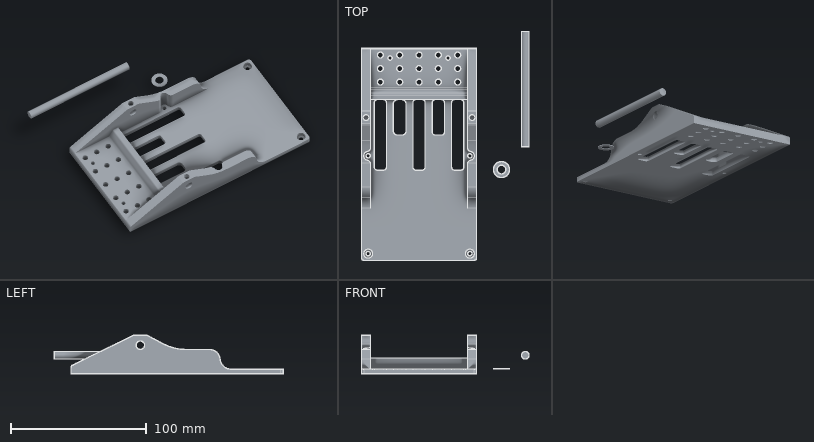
import cadquery as cq
import math


base_width = 85.0
base_length = 156.5
plate_thickness = 3.5
small_radius = 2.0

rail_width = 7.0
rail_back_height = 5.9
rail_peak_height = 28.5
peak_land_length = 9.8
front_slope_angle = 28.0
front_slope_radius = 35.0
shoulder_height = 18.0
shoulder_front_y = 54.3
s_curve_radius = 8.0

pin_hole_diameter = 6.0
pin_hole_y = 105.3
pin_hole_z = 21.1
set_screw_diameter = 4.2

shelf_height = 6.0
wall_height = 11.8
wall_front_y = 118.5
wall_top_thickness = 4.2
wall_base_thickness = 8.1

column_count = 5

grid_hole_diameter = 4.2
grid_row_count = 3
grid_row_pitch = 10.0
grid_middle_y = 141.5

slot_width = 8.8
slot_corner_radius = 2.0
long_slot_front_y = 66.7
short_slot_front_y = 92.5
wide_slot_column = 1
wide_slot_width = 9.3
wide_slot_corner_radius = 3.0

screw_hole_diameter = 3.0
screw_head_diameter = 6.5
screw_head_depth = 3.2
screw_edge_distance = 5.0
screw_row_pitch = 72.0
pocket_mouth_radius = 3.0

rod_diameter = 5.7
rod_length = 85.0
rod_x = 78.3
rod_back_y = 168.8
rod_z = 13.7

washer_outer_diameter = 12.0
washer_inner_diameter = 6.2
washer_thickness = 0.5
washer_x = 60.8
washer_y = 67.0
washer_z = 3.5

half_width = base_width / 2
inner_width = base_width - 2 * rail_width
column_pitch = inner_width / column_count
screw_x = half_width - screw_edge_distance
middle_screw_y = screw_edge_distance + screw_row_pitch
back_screw_y = middle_screw_y + screw_row_pitch
column_xs = [(i - (column_count - 1) / 2) * column_pitch for i in range(column_count)]
pick_size = 0.02


def round_x_edge(body, y, z, radius):
    """Fillet the edges along X that run through (y, z)."""
    picker = cq.selectors.BoxSelector(
        (-base_width, y - pick_size, z - pick_size),
        (base_width, y + pick_size, z + pick_size),
    )
    return body.edges("|X").edges(picker).fillet(radius)


def vertical_cylinder(diameter, x, y, bottom, top):
    return cq.Workplane("XY", origin=(x, y, bottom)).circle(diameter / 2).extrude(top - bottom)


def make_rail(left_x):
    """Side rail: ramp, peak, front slope, shoulder and S-curve down to the plate."""
    peak_back_y = pin_hole_y + peak_land_length / 2
    peak_front_y = pin_hole_y - peak_land_length / 2
    slope_run = (rail_peak_height - shoulder_height) / math.tan(math.radians(front_slope_angle))
    slope_foot_y = peak_front_y - slope_run

    s_curve_drop = shoulder_height - plate_thickness
    s_curve_angle = math.acos(1 - s_curve_drop / (2 * s_curve_radius))
    s_curve_half_run = s_curve_radius * math.sin(s_curve_angle)
    s_middle = (shoulder_front_y - s_curve_half_run, shoulder_height - s_curve_drop / 2)
    s_end = (shoulder_front_y - 2 * s_curve_half_run, plate_thickness)

    rail = (
        cq.Workplane("YZ", origin=(left_x, 0, 0))
        .moveTo(s_end[0], 0)
        .lineTo(base_length, 0)
        .lineTo(base_length, rail_back_height)
        .lineTo(peak_back_y, rail_peak_height)
        .lineTo(peak_front_y, rail_peak_height)
        .lineTo(slope_foot_y, shoulder_height)
        .lineTo(shoulder_front_y, shoulder_height)
        .tangentArcPoint(s_middle, relative=False)
        .tangentArcPoint(s_end, relative=False)
        .close()
        .extrude(rail_width)
    )
    rail = round_x_edge(rail, peak_back_y, rail_peak_height, small_radius)
    rail = round_x_edge(rail, peak_front_y, rail_peak_height, small_radius)
    return round_x_edge(rail, slope_foot_y, shoulder_height, front_slope_radius)


def make_plate():
    plate = cq.Workplane("XY").box(
        base_width, base_length, plate_thickness, centered=(True, False, False)
    )
    return plate.edges("|Z and <Y").fillet(small_radius)


def make_shelf():
    """Rear shelf with a wall along its front, whose back face slopes down to the shelf."""
    wall_top_back_y = wall_front_y + wall_top_thickness
    wall_foot_y = wall_front_y + wall_base_thickness
    shelf = (
        cq.Workplane("YZ", origin=(-inner_width / 2, 0, 0))
        .moveTo(wall_front_y, 0)
        .lineTo(base_length, 0)
        .lineTo(base_length, shelf_height)
        .lineTo(wall_foot_y, shelf_height)
        .lineTo(wall_top_back_y, wall_height)
        .lineTo(wall_front_y, wall_height)
        .close()
        .extrude(inner_width)
    )
    shelf = round_x_edge(shelf, wall_top_back_y, wall_height, small_radius)
    return round_x_edge(shelf, wall_foot_y, shelf_height, small_radius)


def make_back_rounding():
    """Material outside the arc that rounds the upper back edge of rails and shelf."""
    ramp_angle = math.atan2(
        rail_peak_height - rail_back_height,
        base_length - pin_hole_y - peak_land_length / 2,
    )
    tangent_length = small_radius * math.tan((math.pi / 2 - ramp_angle) / 2)
    arc_bottom_z = rail_back_height - tangent_length
    arc_center_y = base_length - small_radius
    middle_angle = (math.pi / 2 - ramp_angle) / 2
    arc_middle = (
        arc_center_y + small_radius * math.cos(middle_angle),
        arc_bottom_z + small_radius * math.sin(middle_angle),
    )
    arc_top = (
        base_length - tangent_length * math.cos(ramp_angle),
        rail_back_height + tangent_length * math.sin(ramp_angle),
    )
    return (
        cq.Workplane("YZ", origin=(-half_width, 0, 0))
        .moveTo(base_length, arc_bottom_z)
        .threePointArc(arc_middle, arc_top)
        .lineTo(base_length, arc_top[1])
        .close()
        .extrude(base_width)
    )


def make_slot(x, front_y, width, corner_radius):
    slot = cq.Workplane("XY", origin=(x, front_y, 0)).box(
        width, wall_front_y - front_y, plate_thickness, centered=(True, False, False)
    )
    return slot.edges("|Z").fillet(corner_radius)


def cut_screw_pocket(body, side):
    """Screw-head clearance in a rail's inner face, with its two mouth edges rounded."""
    x = side * screw_x
    body = body.cut(
        vertical_cylinder(screw_head_diameter, x, middle_screw_y, plate_thickness, rail_peak_height)
    )
    face_x = side * inner_width / 2
    reach = screw_head_diameter / 2
    mouth_half_width = math.sqrt(reach ** 2 - (screw_x - inner_width / 2) ** 2)
    for mouth_y in (middle_screw_y - mouth_half_width, middle_screw_y + mouth_half_width):
        picker = cq.selectors.BoxSelector(
            (face_x - pick_size, mouth_y - pick_size, plate_thickness),
            (face_x + pick_size, mouth_y + pick_size, rail_peak_height),
        )
        body = body.edges("|Z").edges(picker).fillet(pocket_mouth_radius)
    return body


def make_base():
    base = make_plate().union(make_shelf())
    for left_x in (-half_width, half_width - rail_width):
        base = base.union(make_rail(left_x))
    base = base.cut(make_back_rounding())

    for side in (-1, 1):
        base = cut_screw_pocket(base, side)

    for i, x in enumerate(column_xs):
        front_y = long_slot_front_y if i % 2 == 0 else short_slot_front_y
        if i == wide_slot_column:
            base = base.cut(make_slot(x, front_y, wide_slot_width, wide_slot_corner_radius))
        else:
            base = base.cut(make_slot(x, front_y, slot_width, slot_corner_radius))

    for x in column_xs:
        for row in range(grid_row_count):
            y = grid_middle_y + (row - (grid_row_count - 1) / 2) * grid_row_pitch
            base = base.cut(vertical_cylinder(grid_hole_diameter, x, y, 0, shelf_height))

    pin_hole = (
        cq.Workplane("YZ", origin=(-half_width, 0, 0))
        .center(pin_hole_y, pin_hole_z)
        .circle(pin_hole_diameter / 2)
        .extrude(base_width)
    )
    base = base.cut(pin_hole)

    set_screw_x = half_width - rail_width / 2
    back_screw_x = 1.5 * column_pitch
    for side in (-1, 1):
        base = base.cut(
            vertical_cylinder(
                set_screw_diameter, side * set_screw_x, pin_hole_y, pin_hole_z, rail_peak_height
            )
        )
        for x, y in (
            (screw_x, screw_edge_distance),
            (screw_x, middle_screw_y),
            (back_screw_x, back_screw_y),
        ):
            base = base.cut(vertical_cylinder(screw_hole_diameter, side * x, y, 0, shelf_height))
        base = base.cut(
            vertical_cylinder(
                screw_head_diameter,
                side * screw_x,
                screw_edge_distance,
                plate_thickness - screw_head_depth,
                plate_thickness,
            )
        )
    return base


def make_rod():
    return (
        cq.Workplane("XZ", origin=(rod_x, rod_back_y, rod_z))
        .circle(rod_diameter / 2)
        .extrude(rod_length)
    )


def make_washer():
    return (
        cq.Workplane("XY", origin=(washer_x, washer_y, washer_z))
        .circle(washer_outer_diameter / 2)
        .circle(washer_inner_diameter / 2)
        .extrude(washer_thickness)
    )


base = make_base().solids()
rod = make_rod()
washer = make_washer()

result = cq.Compound.makeCompound([base.val(), rod.val(), washer.val()])